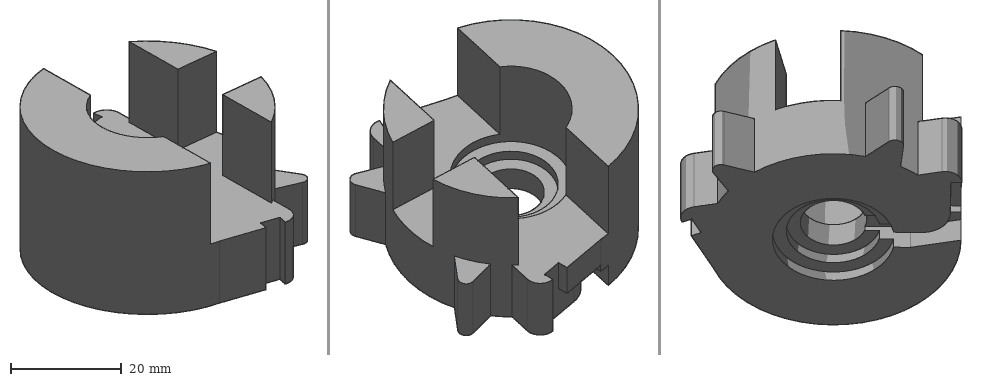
import cadquery as cq
import math

body_radius = 23.0
total_height = 30.0
base_height = 13.05
block_face_y = -4.95
pillar_inner_x = 6.0
pillar_front_y = 12.8

bore_diameter = 12.0
middle_diameter = 17.0
outer_diameter = 22.0
step_depth = 2.0

half_width = 25.85
hook_back_y = 13.75
hook_radius = 3.0
hook_end_angle = 10.0
side_angle = 12.8
pad_corner = (24.9, 6.25)
notch_depth = 1.95
notch_width = 4.0
undercut_length = 9.45
undercut_height = 6.5

channel_height = 5.0
channel_mouth_y = 2.45
mouth_radius = 5.15
channel_wall_point = (10.15, -4.3)

ear_center = (16.0, 22.35)
ear_radius = 1.55
ear_upper_angle = 31.5
ear_lower_angle = 17.4
ear_length = 9.3

sin_side = math.sin(math.radians(side_angle))
cos_side = math.cos(math.radians(side_angle))
inward = (-cos_side, sin_side)
backward = (sin_side, cos_side)


def shifted(point, in_distance, back_distance):
    """Move a point inward and backward relative to the slanted +X side face."""
    return (
        point[0] + in_distance * inward[0] + back_distance * backward[0],
        point[1] + in_distance * inward[1] + back_distance * backward[1],
    )


def prism(points, height):
    return cq.Workplane("XY").polyline(points).close().extrude(height)


def cylinder(diameter, bottom, top):
    return cq.Workplane("XY").workplane(offset=bottom).circle(diameter / 2).extrude(top - bottom)


def both_sides(shape):
    return shape.union(shape.mirror("YZ"))


def block(corner, opposite, bottom, top):
    center_x = (corner[0] + opposite[0]) / 2
    center_y = (corner[1] + opposite[1]) / 2
    return (
        cq.Workplane("XY", origin=(center_x, center_y, bottom))
        .rect(abs(opposite[0] - corner[0]), abs(opposite[1] - corner[1]))
        .extrude(top - bottom)
    )


def side_plate():
    """Right half of the plate, from the middle out to the rounded hook."""
    pad_run = (pad_corner[1] - block_face_y) / cos_side
    pad_end = shifted(pad_corner, 0, -pad_run)
    arc_center = (half_width - hook_radius, hook_back_y - hook_radius)
    end_angle = math.radians(hook_end_angle)
    hook_tip = (
        arc_center[0] + hook_radius * math.cos(end_angle),
        arc_center[1] - hook_radius * math.sin(end_angle),
    )
    arc_offset = hook_radius * math.sqrt(0.5)
    return (
        cq.Workplane("XY")
        .moveTo(0, pad_end[1])
        .lineTo(*pad_end)
        .lineTo(*pad_corner)
        .lineTo(*hook_tip)
        .threePointArc(
            (arc_center[0] + arc_offset, arc_center[1] + arc_offset),
            (arc_center[0], hook_back_y),
        )
        .lineTo(0, hook_back_y)
        .close()
        .extrude(base_height)
    )


def ear():
    upper = math.radians(ear_upper_angle)
    lower = math.radians(ear_lower_angle)
    x, y = ear_center
    upper_tangent = (x - ear_radius * math.sin(upper), y + ear_radius * math.cos(upper))
    lower_tangent = (x + ear_radius * math.cos(lower), y - ear_radius * math.sin(lower))
    upper_root = (
        upper_tangent[0] - ear_length * math.cos(upper),
        upper_tangent[1] - ear_length * math.sin(upper),
    )
    lower_root = (
        lower_tangent[0] - ear_length * math.sin(lower),
        lower_tangent[1] - ear_length * math.cos(lower),
    )
    web = prism([ear_center, upper_tangent, upper_root, lower_root, lower_tangent], base_height)
    tip = cylinder(2 * ear_radius, 0, base_height).translate((x, y, 0))
    return web.union(tip)


def side_slot(front, height):
    """Slot in the +X side, from the hook underside forward to the given distance."""
    return prism(
        [
            shifted(pad_corner, notch_depth, front),
            shifted(pad_corner, -notch_depth, front),
            shifted(pad_corner, -notch_depth, notch_width),
            shifted(pad_corner, notch_depth, notch_width),
        ],
        height,
    )



def side_channel():
    """Channel, shaped for the +X side, from the notch floor to the bore, with one rounded mouth corner."""
    floor_corner = shifted(pad_corner, notch_depth, 0)
    mouth_run = (channel_mouth_y - floor_corner[1]) / cos_side
    mouth_start = shifted(floor_corner, 0, mouth_run)
    mouth_end = shifted(mouth_start, mouth_radius, -mouth_radius)
    arc_rise = mouth_radius * (1 - math.sqrt(0.5))
    arc_run = mouth_radius * math.sqrt(0.5)
    mouth_middle = shifted(mouth_start, arc_rise, -arc_run)
    reach = mouth_end[0] / cos_side
    inner_end = shifted(mouth_end, reach, 0)
    wall_inner = shifted(channel_wall_point, channel_wall_point[0] / cos_side, 0)
    wall_outer = shifted(channel_wall_point, channel_wall_point[0] - half_width, 0)
    outside = shifted(mouth_start, -notch_depth - hook_radius, 0)
    channel = (
        cq.Workplane("XY")
        .moveTo(*mouth_start)
        .threePointArc(mouth_middle, mouth_end)
        .lineTo(*inner_end)
        .lineTo(*wall_inner)
        .lineTo(*wall_outer)
        .lineTo(*outside)
        .close()
        .extrude(channel_height)
    )
    keep = block((0, block_face_y), (2 * half_width, half_width), 0, channel_height)
    return channel.intersect(keep)


base = cylinder(2 * body_radius, 0, base_height)
base = base.union(both_sides(side_plate())).union(both_sides(ear()))
base = base.cut(both_sides(side_slot(0, base_height)))
base = base.cut(side_slot(-undercut_length, undercut_height).mirror("YZ"))
base = base.cut(side_channel().mirror("YZ"))

tall_block = block((-body_radius, -body_radius), (body_radius, block_face_y), 0, total_height)
pillar = block((pillar_inner_x, pillar_front_y), (body_radius, body_radius), 0, total_height)
uprights = tall_block.union(both_sides(pillar))
uprights = uprights.intersect(cylinder(2 * body_radius, 0, total_height))
result = base.union(uprights)

result = result.cut(cylinder(bore_diameter, 0, total_height))
result = result.cut(cylinder(middle_diameter, 0, 2 * step_depth))
result = result.cut(cylinder(outer_diameter, 0, step_depth))
result = result.cut(cylinder(middle_diameter, base_height - 2 * step_depth, total_height))
result = result.cut(cylinder(outer_diameter, base_height - step_depth, total_height))